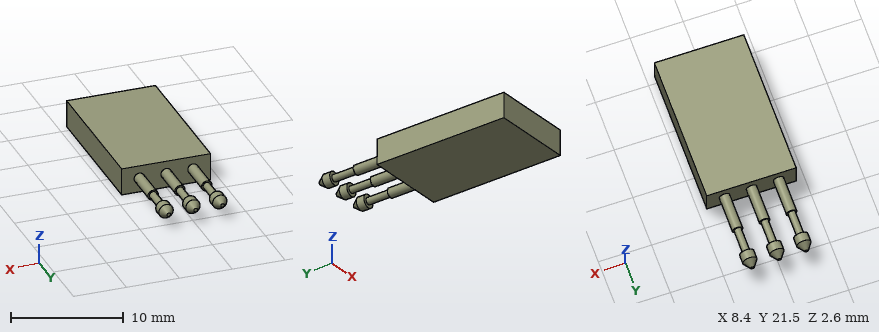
import cadquery as cq

TOTAL_LENGTH = 21.5
HOUSING_WIDTH = 8.4
HOUSING_LENGTH = 14.0
HOUSING_HEIGHT = 2.6

PIN_COUNT = 3
PIN_PITCH = 2.54
PIN_RISE = 0.09
SLEEVE_DIAMETER = 1.0
SLEEVE_LENGTH = 3.5
SHAFT_DIAMETER = 0.7
SHAFT_LENGTH = 2.45
HEAD_DIAMETER = 1.35
HEAD_LENGTH = 0.84
TIP_DIAMETER = 0.35

SLEEVE_END = SLEEVE_LENGTH
SHAFT_END = SLEEVE_END + SHAFT_LENGTH
HEAD_END = SHAFT_END + HEAD_LENGTH
TIP_END = TOTAL_LENGTH - HOUSING_LENGTH


def make_housing():
    """Block centred on X and Z, with its +Y face at Y = 0."""
    return cq.Workplane("XY").box(
        HOUSING_WIDTH, HOUSING_LENGTH, HOUSING_HEIGHT, centered=(True, False, True)
    ).translate((0, -HOUSING_LENGTH, 0))


def make_pin(x):
    """Sleeve, shaft and conical head turned about one axis parallel to Y."""
    half_profile = [
        (0, 0),
        (SLEEVE_DIAMETER / 2, 0),
        (SLEEVE_DIAMETER / 2, SLEEVE_END),
        (SHAFT_DIAMETER / 2, SLEEVE_END),
        (SHAFT_DIAMETER / 2, SHAFT_END),
        (HEAD_DIAMETER / 2, SHAFT_END),
        (HEAD_DIAMETER / 2, HEAD_END),
        (TIP_DIAMETER / 2, TIP_END),
        (0, TIP_END),
    ]
    pin = cq.Workplane("XY").polyline(half_profile).close().revolve(360, (0, 0, 0), (0, 1, 0))
    return pin.translate((x, 0, PIN_RISE))


housing = make_housing()
pins = []
for index in range(PIN_COUNT):
    pin_x = (index - (PIN_COUNT - 1) / 2) * PIN_PITCH
    pins.append(make_pin(pin_x).val())

result = cq.Compound.makeCompound([housing.val(), *pins])